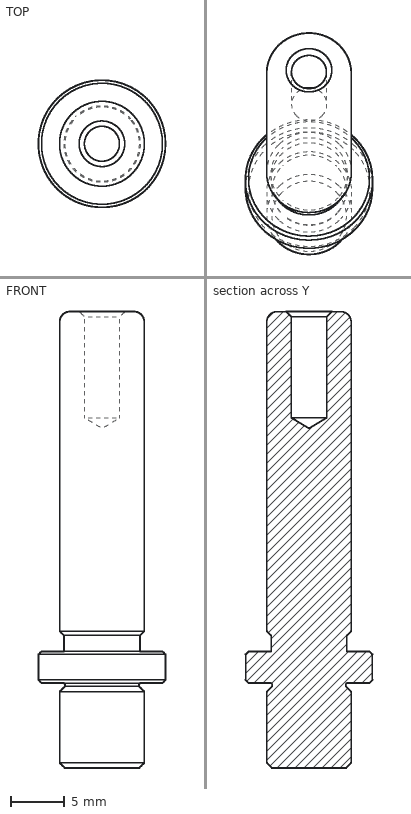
import cadquery as cq
import math

total_length = 43.0
shank_length = 8.0
flange_thickness = 3.0
upper_neck_length = 1.5
lower_neck_length = 0.3
flange_bottom = shank_length
flange_top = flange_bottom + flange_thickness

pin_diameter = 8.0
flange_diameter = 12.0
upper_neck_diameter = 7.2
lower_neck_diameter = 7.0
pin_radius = pin_diameter / 2
flange_radius = flange_diameter / 2
upper_neck_radius = upper_neck_diameter / 2
lower_neck_radius = lower_neck_diameter / 2
upper_neck_depth = pin_radius - upper_neck_radius
lower_neck_depth = pin_radius - lower_neck_radius

top_round = 1.0
flange_chamfer = 0.3
bottom_chamfer = 0.5
lower_neck_fillet = 0.15

hole_diameter = 3.3
hole_depth = 10.0
countersink_diameter = 4.3
countersink_angle = 90.0
drill_point_angle = 118.0


def cone_height(base_radius, tip_radius, included_angle):
    """Axial length of a cone with the given included angle in degrees."""
    return (base_radius - tip_radius) / math.tan(math.radians(included_angle / 2))


def pin_body():
    """Turned body: shank, flange between two necks, and long round-nosed pin."""
    shank_top = flange_bottom - lower_neck_length
    upper_neck_top = flange_top + upper_neck_length
    round_centre_radius = pin_radius - top_round
    round_centre_z = total_length - top_round
    round_mid = top_round * math.sqrt(0.5)
    fillet_mid = lower_neck_fillet * (1 - math.sqrt(0.5))
    profile = (
        cq.Workplane("XZ")
        .moveTo(0, 0)
        .lineTo(pin_radius - bottom_chamfer, 0)
        .lineTo(pin_radius, bottom_chamfer)
        .lineTo(pin_radius, shank_top - lower_neck_depth)
        .lineTo(lower_neck_radius, shank_top)
        .lineTo(lower_neck_radius, flange_bottom - lower_neck_fillet)
        .threePointArc(
            (lower_neck_radius + fillet_mid, flange_bottom - fillet_mid),
            (lower_neck_radius + lower_neck_fillet, flange_bottom),
        )
        .lineTo(flange_radius - flange_chamfer, flange_bottom)
        .lineTo(flange_radius, flange_bottom + flange_chamfer)
        .lineTo(flange_radius, flange_top - flange_chamfer)
        .lineTo(flange_radius - flange_chamfer, flange_top)
        .lineTo(upper_neck_radius, flange_top)
        .lineTo(upper_neck_radius, upper_neck_top)
        .lineTo(pin_radius, upper_neck_top + upper_neck_depth)
        .lineTo(pin_radius, round_centre_z)
        .threePointArc(
            (round_centre_radius + round_mid, round_centre_z + round_mid),
            (round_centre_radius, total_length),
        )
        .lineTo(0, total_length)
        .close()
    )
    return profile.revolve(360, (0, 0, 0), (0, 1, 0))


def blind_hole():
    """Cutter for the countersunk drilled hole with a conical bottom."""
    hole_radius = hole_diameter / 2
    countersink_radius = countersink_diameter / 2
    countersink_depth = cone_height(countersink_radius, hole_radius, countersink_angle)
    floor_z = total_length - hole_depth
    profile = (
        cq.Workplane("XZ")
        .moveTo(0, total_length)
        .lineTo(countersink_radius, total_length)
        .lineTo(hole_radius, total_length - countersink_depth)
        .lineTo(hole_radius, floor_z)
        .lineTo(0, floor_z - cone_height(hole_radius, 0, drill_point_angle))
        .close()
    )
    return profile.revolve(360, (0, 0, 0), (0, 1, 0))


result = pin_body().cut(blind_hole())